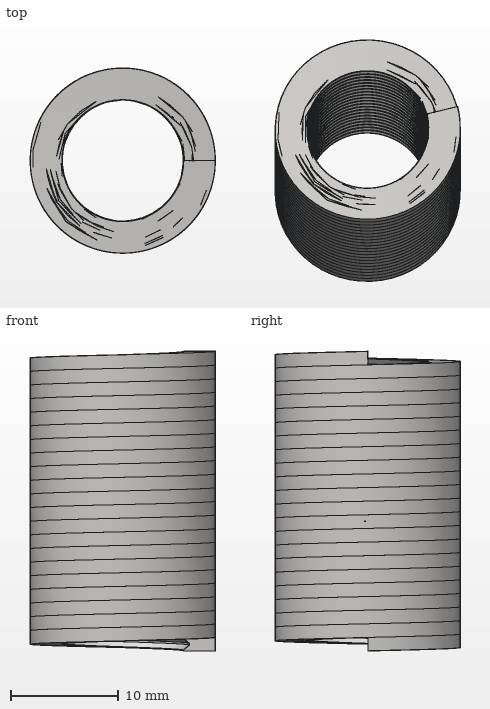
import cadquery as cq

length = 27.95
outer_radius = 8.63

pitch_count = 22
pitch = length / pitch_count
turns = pitch_count - 1

crest_radius = 5.65
root_radius = 6.2
root_flat = 0.17
edge_relief = 0.042
edge_height = 0.08


def strip_section():
    """Cross-section in the XZ plane: one pitch tall, grooved on its inner side."""
    edge_radius = crest_radius + edge_relief
    root_bottom = (pitch - root_flat) / 2
    root_top = root_bottom + root_flat
    return (
        cq.Workplane("XZ")
        .moveTo(edge_radius, 0)
        .lineTo(outer_radius, 0)
        .lineTo(outer_radius, pitch)
        .lineTo(edge_radius, pitch)
        .lineTo(crest_radius, pitch - edge_height)
        .lineTo(root_radius, root_top)
        .lineTo(root_radius, root_bottom)
        .lineTo(crest_radius, edge_height)
        .close()
    )


winding = cq.Wire.makeHelix(pitch, turns * pitch, outer_radius)
result = strip_section().sweep(winding, isFrenet=True)